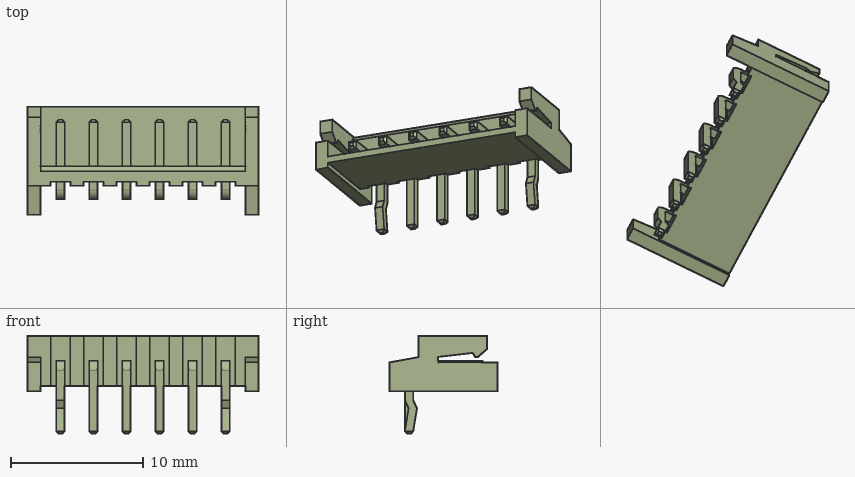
import cadquery as cq
import math


pin_count = 6
pitch = 2.5
pin_size = 0.64
pin_half = pin_size / 2
pin_height = 2.01
pin_end_y = 5.7
leg_end_z = -3.2
bend_inner_radius = 0.08
bend_outer_radius = bend_inner_radius + pin_size
tip_length = 0.2
tip_inset = 0.18
tip_angle = math.degrees(math.atan2(tip_inset, tip_length))

kink_start_z = -0.68
kink_peak_z = -1.28
kink_offset = 0.28

end_margin = 2.5
housing_length = (pin_count - 1) * pitch + 2 * end_margin
end_wall = 1.0
socket_length = housing_length - 2 * end_wall
housing_top = 4.2
mating_face_y = 6.7
wall_back_y = 0.7
wall_inner_y = 2.2
mid_bottom = 0.4
socket_floor = 0.9
bevel = 0.4

relief_width = 1.5
relief_depth = 0.3

foot_back_y = -1.5
base_top = 2.2
root_height = 2.6
arm_end_y = 5.9
arm_end_bottom = 3.2
hook_outer_y = 5.2
hook_inner_y = 5.0
arm_under_y = 4.8
arm_under_z = 2.9

pin_positions = [(i - (pin_count - 1) / 2) * pitch for i in range(pin_count)]


def prism(points, x_center, width):
    """Extrude a closed (Y, Z) outline along X, centred on x_center."""
    outline = cq.Workplane("YZ").polyline(points).close()
    return outline.extrude(width / 2, both=True).translate((x_center, 0, 0))


def make_end_wall(x_center):
    """End wall with a rear foot and a hooked latch arm above an open slot."""
    points = [
        (foot_back_y, 0),
        (mating_face_y, 0),
        (mating_face_y, base_top),
        (wall_inner_y, base_top),
        (wall_inner_y, root_height),
        (arm_under_y, arm_under_z),
        (hook_inner_y, root_height),
        (hook_outer_y, root_height),
        (arm_end_y, arm_end_bottom),
        (arm_end_y, housing_top),
        (wall_back_y, housing_top),
        (wall_back_y, root_height),
        (foot_back_y, base_top),
    ]
    return prism(points, x_center, end_wall)


def make_middle():
    """L-shaped floor and upright wall between the end walls."""
    points = [
        (wall_back_y, mid_bottom),
        (mating_face_y, mid_bottom),
        (mating_face_y, socket_floor),
        (wall_inner_y, socket_floor),
        (wall_inner_y, housing_top - bevel),
        (wall_inner_y - bevel, housing_top),
        (wall_back_y, housing_top),
    ]
    return prism(points, 0, socket_length)


def make_relief(x_center):
    """Full-height groove in the rear face behind one pin."""
    return cq.Workplane("XY").box(
        relief_width, relief_depth, housing_top, centered=(True, False, False)
    ).translate((x_center, wall_back_y, 0))


def make_tip(plane):
    """Tapered pin end growing along the normal of the given plane."""
    return cq.Workplane(plane).rect(pin_size, pin_size).extrude(tip_length, taper=tip_angle)


def make_pin(x_center, kinked):
    """Square pin bent from the mating direction down into the soldering leg."""
    mating_end = pin_end_y - tip_length
    leg_end = leg_end_z + tip_length
    top = pin_height + pin_half
    bottom = pin_height - pin_half
    bend_y = pin_half + bend_inner_radius
    bend_z = bottom - bend_inner_radius
    diagonal = math.sqrt(0.5)

    def arc_middle(radius):
        return (bend_y - radius * diagonal, bend_z + radius * diagonal)

    outline = (
        cq.Workplane("YZ")
        .moveTo(mating_end, top)
        .lineTo(bend_y, top)
        .threePointArc(arc_middle(bend_outer_radius), (-pin_half, bend_z))
    )
    if kinked:
        outline = outline.lineTo(-pin_half, kink_start_z).lineTo(kink_offset - pin_half, kink_peak_z)
    outline = outline.lineTo(-pin_half, leg_end).lineTo(pin_half, leg_end)
    if kinked:
        outline = outline.lineTo(kink_offset + pin_half, kink_peak_z).lineTo(pin_half, kink_start_z)
    outline = (
        outline.lineTo(pin_half, bend_z)
        .threePointArc(arc_middle(bend_inner_radius), (bend_y, bottom))
        .lineTo(mating_end, bottom)
        .close()
    )
    pin = outline.extrude(pin_half, both=True)
    mating_plane = cq.Plane(origin=(0, mating_end, pin_height), xDir=(1, 0, 0), normal=(0, 1, 0))
    leg_plane = cq.Plane(origin=(0, 0, leg_end), xDir=(1, 0, 0), normal=(0, 0, -1))
    pin = pin.union(make_tip(mating_plane)).union(make_tip(leg_plane))
    return pin.translate((x_center, 0, 0))


def make_housing():
    """Middle section, both end walls and the rear reliefs."""
    end_wall_x = (housing_length - end_wall) / 2
    housing = make_middle()
    for side in (-1, 1):
        housing = housing.union(make_end_wall(side * end_wall_x))
    for x in pin_positions:
        housing = housing.cut(make_relief(x))
    return housing


result = make_housing()
for x in pin_positions:
    is_outer_pin = x in (pin_positions[0], pin_positions[-1])
    result = result.union(make_pin(x, kinked=is_outer_pin))